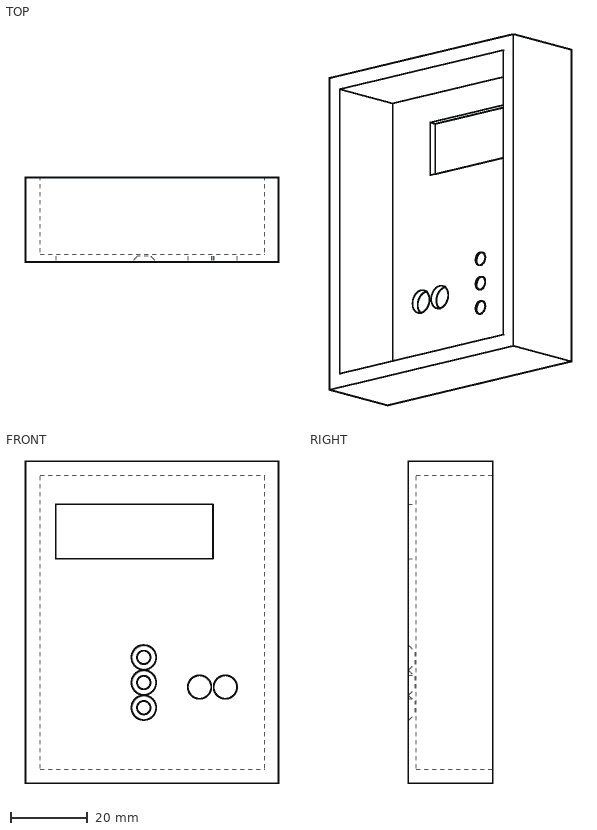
import cadquery as cq

width = 65.8
depth = 22.0
height = 83.8
panel_thickness = 2.0
wall = 3.7

window_left = 7.9
window_bottom = 58.4
window_width = 40.8
window_height = 14.2

column_x = 30.75
column_middle_z = 26.2
column_pitch = 6.5
column_count = 3
hole_diameter = 3.4
hole_land = 0.3
cone_diameter = 6.0
rim_diameter = 6.45
rim_depth = 0.25

pair_x = (45.25, 51.95)
pair_z = 25.05
pair_diameter = 6.0


def make_shell():
    outer = cq.Workplane("XY").box(width, depth, height, centered=False)
    cavity = (
        cq.Workplane("XY")
        .box(width - 2 * wall, depth - panel_thickness, height - 2 * wall, centered=False)
        .translate((wall, panel_thickness, wall))
    )
    return outer.cut(cavity)


def make_window():
    return (
        cq.Workplane("XY")
        .box(window_width, panel_thickness, window_height, centered=False)
        .translate((window_left, 0, window_bottom))
    )


def make_hole_cutter(x, z, sections):
    """Round cutter through (diameter, distance behind the front face) sections, front to back."""
    rim = [(diameter / 2, distance) for diameter, distance in sections]
    profile = [(0, 0), *rim, (0, panel_thickness)]
    return (
        cq.Workplane("XY")
        .polyline(profile)
        .close()
        .revolve(360, (0, 0, 0), (0, 1, 0))
        .translate((x, 0, z))
    )


countersunk_sections = [
    (rim_diameter, 0),
    (cone_diameter, rim_depth),
    (hole_diameter, panel_thickness - hole_land),
    (hole_diameter, panel_thickness),
]
plain_sections = [(pair_diameter, 0), (pair_diameter, panel_thickness)]

result = make_shell().cut(make_window())
for index in range(column_count):
    hole_z = column_middle_z + (index - (column_count - 1) / 2) * column_pitch
    result = result.cut(make_hole_cutter(column_x, hole_z, countersunk_sections))
for hole_x in pair_x:
    result = result.cut(make_hole_cutter(hole_x, pair_z, plain_sections))